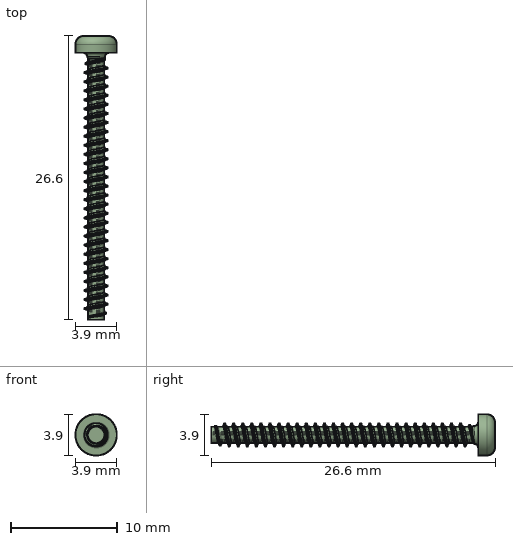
import cadquery as cq
import math


head_diameter = 3.9
head_height = 1.6
head_edge_radius = head_height / 2

shank_length = 25.0
core_diameter = 1.55
neck_diameter = 1.7
neck_fillet_radius = 0.35
neck_length = 0.54

thread_diameter = 2.2
pitch = 0.85
thread_start = 0.36
thread_start_angle = -90.0
thread_turns = 28.75
runout_turns = 1
runout_height_ratio = 0.15

buried_radius = 0.74
head_side_base = 0.36
tip_side_base = 0.2
shoulder_radius = 0.86
shoulder_width = 0.18
crest_width = 0.05
ridge_profile = [
    (buried_radius, -head_side_base),
    (shoulder_radius, -shoulder_width / 2),
    (thread_diameter / 2, -crest_width / 2),
    (thread_diameter / 2, crest_width / 2),
    (shoulder_radius, shoulder_width / 2),
    (buried_radius, tip_side_base),
]


def make_body():
    """Head, neck and core as one turned solid."""
    head_radius = head_diameter / 2
    core_radius = core_diameter / 2
    neck_radius = neck_diameter / 2
    mid_arc = math.sqrt(0.5)
    flat_radius = head_radius - head_edge_radius
    edge_mid = (
        flat_radius + head_edge_radius * mid_arc,
        -head_height + head_edge_radius * (1 - mid_arc),
    )
    fillet_mid = (
        neck_radius + neck_fillet_radius * (1 - mid_arc),
        neck_fillet_radius * (1 - mid_arc),
    )
    outline = (
        cq.Workplane("XZ")
        .moveTo(0, -head_height)
        .lineTo(flat_radius, -head_height)
        .threePointArc(edge_mid, (head_radius, head_edge_radius - head_height))
        .lineTo(head_radius, 0)
        .lineTo(neck_radius + neck_fillet_radius, 0)
        .threePointArc(fillet_mid, (neck_radius, neck_fillet_radius))
        .lineTo(core_radius, neck_length)
        .lineTo(core_radius, shank_length)
        .lineTo(0, shank_length)
        .close()
    )
    return outline.revolve(360, (0, 0, 0), (0, 1, 0)).val()


def ridge_point(corner, height_ratio):
    """Radius and axial offset of a ridge corner when the ridge has part of its height."""
    radius, offset = corner
    return buried_radius + (radius - buried_radius) * height_ratio, offset


def helix_edge(corner, start_ratio, end_ratio, turns):
    """Helix followed by one ridge corner; its radius changes evenly along the axis."""
    start_radius, offset = ridge_point(corner, start_ratio)
    end_radius, _ = ridge_point(corner, end_ratio)
    height = turns * pitch
    if end_radius == start_radius:
        wire = cq.Wire.makeHelix(pitch, height, start_radius)
    else:
        half_angle = math.atan2(end_radius - start_radius, height)
        slant = 1 / math.cos(half_angle)
        wire = cq.Wire.makeHelix(
            pitch * slant, height * slant, start_radius, angle=math.degrees(half_angle)
        )
    return wire.moved(cq.Location(cq.Vector(0, 0, offset))).Edges()[0]


def ridge_cap(height_ratio):
    """Flat end face of the ridge at angle zero."""
    points = []
    for corner in ridge_profile:
        radius, offset = ridge_point(corner, height_ratio)
        points.append(cq.Vector(radius, 0, offset))
    return cq.Face.makeFromWires(cq.Wire.makePolygon(points, close=True))


def make_ridge(start_ratio, end_ratio, turns, turns_before):
    """One stretch of thread ridge, bounded by ruled faces between helices."""
    edges = [helix_edge(corner, start_ratio, end_ratio, turns) for corner in ridge_profile]
    faces = []
    for index, edge in enumerate(edges):
        faces.append(cq.Face.makeRuledSurface(edges[index - 1], edge))
    end_cap = ridge_cap(end_ratio).rotate(cq.Vector(), cq.Vector(0, 0, 1), 360 * turns)
    faces.append(ridge_cap(start_ratio))
    faces.append(end_cap.translate(cq.Vector(0, 0, turns * pitch)))
    shell = cq.Shell.makeShell(faces)
    ridge = cq.Solid.makeSolid(shell).fix()
    start_turn_angle = thread_start_angle + 360 * turns_before
    ridge = ridge.rotate(cq.Vector(), cq.Vector(0, 0, 1), start_turn_angle)
    return ridge.translate(cq.Vector(0, 0, thread_start + turns_before * pitch))


def make_thread():
    """Rising lead-in, full-height thread and falling run-out."""
    full_turns = thread_turns - 2 * runout_turns
    return [
        make_ridge(runout_height_ratio, 1, runout_turns, 0),
        make_ridge(1, 1, full_turns, runout_turns),
        make_ridge(1, runout_height_ratio, runout_turns, thread_turns - runout_turns),
    ]


screw = make_body().fuse(*make_thread())
result = cq.Workplane("XY").newObject(screw.Solids()).rotate((0, 0, 0), (1, 0, 0), 90)